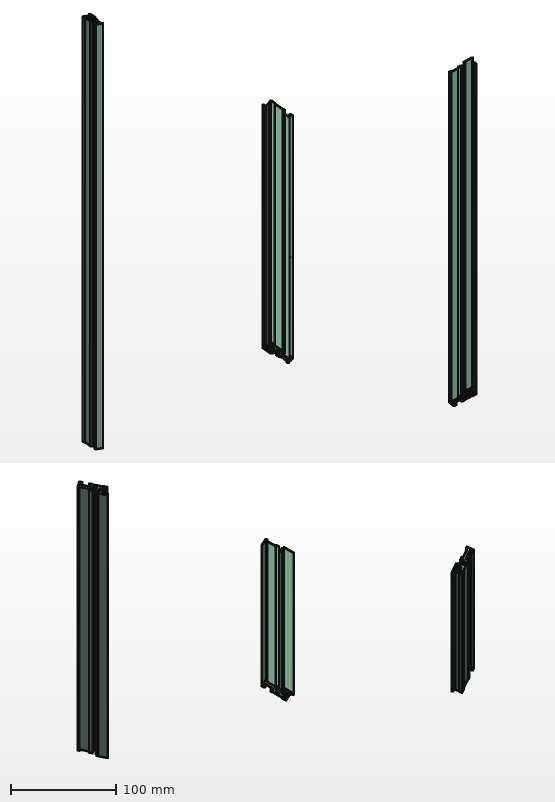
import cadquery as cq

length = 426.7
width = 30.5
depth = 10.0
left = -width / 2
right = width / 2
back = depth / 2
front = -depth / 2

flange_thickness = 1.62
flange_right = -4.05
flange_bottom = back - flange_thickness
nose_bulge = 0.3

flange_overhang = 3.0
leg_left = left + flange_overhang
leg_thickness = 1.5
leg_right = leg_left + leg_thickness
foot_width = 4.5
foot_right = leg_left + foot_width
recess_depth = 0.2
recess_half_height = 1.9
flare_height = 1.0
flare_reach = 0.2

cell_width = 1.5
block_left = leg_right + cell_width
block_right = -2.5
shoulder = 3.0
cell_floor = -3.2
lip_bottom = 4.0
lip_reach = 1.5
groove_left = flange_right - lip_reach
groove_width = 1.2
groove_lean = 1.05
groove_floor = -1.3

web_top = -2.77
foot_drop = 0.5
web_bottom = front + foot_drop
web_fillet = 0.5

plate_left = 0.5
plate_half_thickness = 1.55
ear_top = 2.77
post_right = 4.0
right_leg_left = 13.2
hook_reach = 1.62
hook_top = -3.5
hook_fillet = 0.73
foot_left = 2.47
foot_chamfer = 0.4
notch_depth = 1.3
notch_top = 1.0
notch_floor = -0.65


def extrude_outline(points):
    """Prism over a closed outline in XY, running the full length."""
    return cq.Workplane("XY", origin=(0, 0, -length / 2)).polyline(points).close().extrude(length)


def bar(x_min, x_max, y_min, y_max):
    """Rectangular strip of the profile, running the full length."""
    return extrude_outline([(x_min, y_min), (x_max, y_min), (x_max, y_max), (x_min, y_max)])


def make_flange():
    """Back flange whose free left edge is a bulging round nose."""
    return (
        cq.Workplane("XY", origin=(0, 0, -length / 2))
        .moveTo(left + nose_bulge, flange_bottom)
        .lineTo(flange_right, flange_bottom)
        .lineTo(flange_right, back)
        .lineTo(left + nose_bulge, back)
        .threePointArc((left, (back + flange_bottom) / 2), (left + nose_bulge, flange_bottom))
        .close()
        .extrude(length)
    )


def make_outer_leg():
    """Leg with a shallow recess in its outer face and a flared bottom edge."""
    recess_left = leg_left + recess_depth
    return extrude_outline([
        (leg_left - flare_reach, front),
        (leg_right, front),
        (leg_right, flange_bottom),
        (leg_left, flange_bottom),
        (leg_left, recess_half_height),
        (recess_left, recess_half_height),
        (recess_left, -recess_half_height),
        (leg_left, -recess_half_height),
        (leg_left, front + flare_height),
    ])


def make_block():
    """Solid block under the flange, stepped down to a shoulder on its right."""
    neck = bar(block_left, flange_right, web_bottom, back)
    body = bar(block_left, block_right, web_bottom, shoulder)
    return neck.union(body)


def make_groove():
    """Leaning seal groove whose mouth opens to the right between flange and shoulder."""
    return extrude_outline([
        (groove_left - groove_lean, groove_floor),
        (groove_left - groove_lean + groove_width, groove_floor),
        (groove_left + groove_width, shoulder),
        (block_right, shoulder),
        (block_right, lip_bottom),
        (groove_left, lip_bottom),
    ])


def make_web():
    """Strip along the front that joins the block to the H-shaped section."""
    return bar(block_right, post_right, web_bottom, web_top)


def make_h_section():
    """Plate with two ears behind it and two hooked legs in front, notched on its left side."""
    hook_left_leg = post_right + hook_reach
    hook_right_leg = right_leg_left - hook_reach
    section = bar(plate_left, right, -plate_half_thickness, plate_half_thickness)
    section = section.union(bar(plate_left, post_right, web_bottom, ear_top))
    section = section.union(bar(right_leg_left, right, front, ear_top))
    left_hook = bar(foot_left, hook_left_leg, front, hook_top)
    left_hook = left_hook.edges("|Z and >X and <Y").fillet(hook_fillet)
    left_hook = left_hook.edges("|Z and <X and <Y").chamfer(foot_chamfer)
    right_hook = bar(hook_right_leg, right, front, hook_top)
    right_hook = right_hook.edges("|Z and <X and <Y").fillet(hook_fillet)
    notch = bar(plate_left, plate_left + notch_depth, notch_floor, notch_top)
    return section.union(left_hook).union(right_hook).cut(notch)


foot = bar(leg_left, foot_right, front, cell_floor)
result = make_flange()
for piece in (make_outer_leg(), foot, make_block(), make_web(), make_h_section()):
    result = result.union(piece)
result = result.cut(make_groove()).clean()

web_corner = cq.selectors.NearestToPointSelector((block_right, web_top, 0))
result = result.edges(web_corner).fillet(web_fillet)